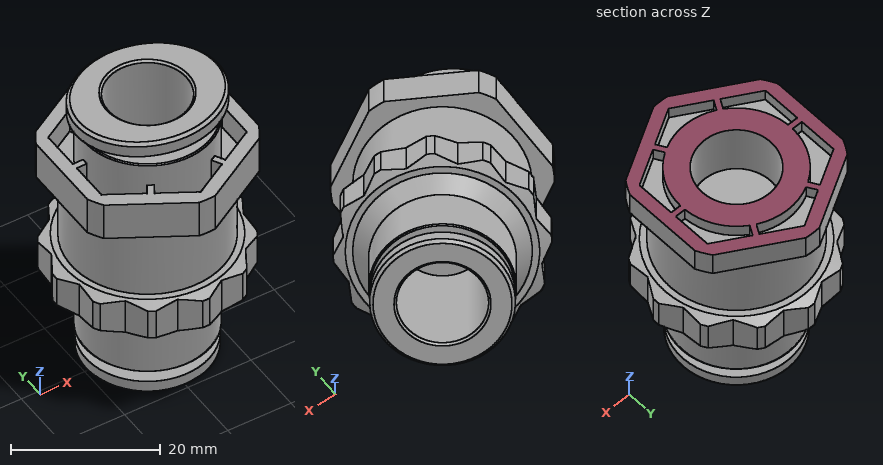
import cadquery as cq
import math

total_height = 46
sleeve_flange_thickness = 2.25
sleeve_neck_height = 1.8
collar_bottom_z = 32.2
collar_top_z = 38.25
nut_bottom_z = 14.25
nut_top_z = 20.3

lower_body_bottom_z = sleeve_flange_thickness + sleeve_neck_height
upper_body_top_z = total_height - lower_body_bottom_z

body_radius = 9.9
barrel_radius = 12.0
body_edge_chamfer = 0.2

sleeve_flange_radius = 9.75
oval_half_length = 11.25
sleeve_neck_radius = 7.15
sleeve_edge_chamfer = 0.45
bore_radius = 6.15
bore_edge_chamfer = 0.3
bore_depth = 18.4

collar_across_flats = 27.15
collar_corner_radius = 15.0
pocket_across_flats = 23
pocket_depth = 4.0
rib_count = 6
rib_thickness = 0.95

nut_across_flats = 26.0
nut_tip_diameter = 29.4
nut_chamfer_height = 0.6


def cylinder(radius, bottom_z, top_z):
    return cq.Workplane("XY").workplane(offset=bottom_z).circle(radius).extrude(top_z - bottom_z)


def hexagon(across_flats, bottom_z, top_z, first_corner_angle):
    """Hexagonal prism with one corner at the given angle from +X."""
    corner_diameter = across_flats / math.cos(math.radians(30))
    base = cq.Workplane("XY").workplane(offset=bottom_z).polygon(6, corner_diameter)
    prism = base.extrude(top_z - bottom_z)
    return prism.rotate((0, 0, 0), (0, 0, 1), first_corner_angle)


def body():
    """Stepped round body with a 45 degree cone below the nut."""
    cone_bottom_z = nut_bottom_z - (barrel_radius - body_radius)
    core = cylinder(body_radius, lower_body_bottom_z, upper_body_top_z)
    core = core.faces("<Z or >Z").chamfer(body_edge_chamfer)
    barrel = (
        cq.Workplane("XZ")
        .moveTo(0, cone_bottom_z)
        .lineTo(body_radius, cone_bottom_z)
        .lineTo(barrel_radius, nut_bottom_z)
        .lineTo(barrel_radius, collar_bottom_z)
        .lineTo(0, collar_bottom_z)
        .close()
        .revolve()
    )
    return core.union(barrel)


def sleeve_necks():
    return cylinder(sleeve_neck_radius, sleeve_flange_thickness, total_height - sleeve_flange_thickness)


def lower_flange():
    disc = cylinder(sleeve_flange_radius, 0, sleeve_flange_thickness)
    return disc.faces("<Z").chamfer(sleeve_edge_chamfer)


def upper_flange():
    """Oval flange, longer along X."""
    oval = (
        cq.Workplane("XY")
        .workplane(offset=total_height - sleeve_flange_thickness)
        .ellipse(oval_half_length, sleeve_flange_radius)
        .extrude(sleeve_flange_thickness)
    )
    return oval.faces(">Z").chamfer(sleeve_edge_chamfer)


def collar():
    """Hexagon with rounded corners, hollowed from above."""
    outside = hexagon(collar_across_flats, collar_bottom_z, collar_top_z, 30)
    outside = outside.intersect(cylinder(collar_corner_radius, collar_bottom_z, collar_top_z))
    floor_z = collar_top_z - pocket_depth
    pocket = hexagon(pocket_across_flats, floor_z, collar_top_z, 30)
    return outside.cut(pocket)


def collar_ribs():
    """Radial ribs joining the body to the middle of each collar flat."""
    inner = (sleeve_neck_radius + body_radius) / 2
    outer = (pocket_across_flats + collar_across_flats) / 4
    ribs = cq.Workplane("XY")
    for index in range(rib_count):
        rib = (
            cq.Workplane("XY")
            .box(outer - inner, rib_thickness, collar_top_z - collar_bottom_z, centered=(False, True, False))
            .translate((inner, 0, collar_bottom_z))
            .rotate((0, 0, 0), (0, 0, 1), index * 360 / rib_count)
        )
        ribs = ribs.union(rib)
    return ribs


def nut():
    """Two crossed hexagons trimmed by a disc with shallow conical faces."""
    star = hexagon(nut_across_flats, nut_bottom_z, nut_top_z, 0)
    star = star.union(hexagon(nut_across_flats, nut_bottom_z, nut_top_z, 30))
    face_radius = nut_across_flats / 2
    envelope = (
        cq.Workplane("XZ")
        .moveTo(0, nut_bottom_z)
        .lineTo(face_radius, nut_bottom_z)
        .lineTo(nut_tip_diameter / 2, nut_bottom_z + nut_chamfer_height)
        .lineTo(nut_tip_diameter / 2, nut_top_z - nut_chamfer_height)
        .lineTo(face_radius, nut_top_z)
        .lineTo(0, nut_top_z)
        .close()
        .revolve()
    )
    return star.intersect(envelope)


def tube_bore():
    """Blind bore from the top with a chamfered mouth."""
    floor_z = total_height - bore_depth
    mouth = (
        cq.Workplane("XY")
        .workplane(offset=total_height - bore_edge_chamfer)
        .circle(bore_radius)
        .workplane(offset=bore_edge_chamfer)
        .circle(bore_radius + bore_edge_chamfer)
        .loft()
    )
    return cylinder(bore_radius, floor_z, total_height).union(mouth)


upper_bore = tube_bore()
lower_bore = upper_bore.mirror("XY", (0, 0, total_height / 2))

result = (
    body()
    .union(sleeve_necks())
    .union(lower_flange())
    .union(upper_flange())
    .union(collar())
    .union(collar_ribs())
    .union(nut())
    .cut(upper_bore)
    .cut(lower_bore)
)